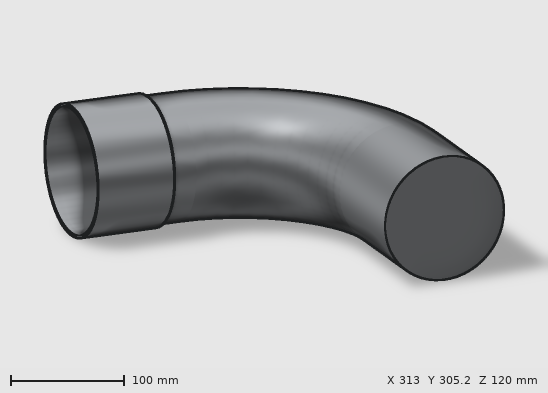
import cadquery as cq

pipe_diameter = 114.2
socket_diameter = 120.0
socket_bore = 115.0

length_x = 313.0
length_y = 305.2

bend_radius = 152.7
neck_length = 21.0
chamfer = 2.0
socket_depth = 71.0
outlet_length = length_x - socket_diameter / 2 - bend_radius
mouth_y = -(length_y - pipe_diameter / 2 - bend_radius)
socket_length = -mouth_y - neck_length


def cylinder_from_mouth(diameter, length):
    """Cylinder on the socket axis, starting at the socket mouth and running along +Y."""
    return cq.Workplane("XZ", origin=(0, mouth_y, 0)).circle(diameter / 2).extrude(-length)


bend = cq.Workplane("XZ").circle(pipe_diameter / 2).revolve(90, (bend_radius, 0), (bend_radius, -1))
outlet = (
    cq.Workplane("YZ", origin=(bend_radius, bend_radius, 0))
    .circle(pipe_diameter / 2)
    .extrude(outlet_length)
)

neck = cylinder_from_mouth(pipe_diameter, -mouth_y)
socket = cylinder_from_mouth(socket_diameter, socket_length).faces(">Y").chamfer(chamfer)

recess = cylinder_from_mouth(socket_bore, socket_depth)

result = bend.union(outlet).union(neck).union(socket).cut(recess)